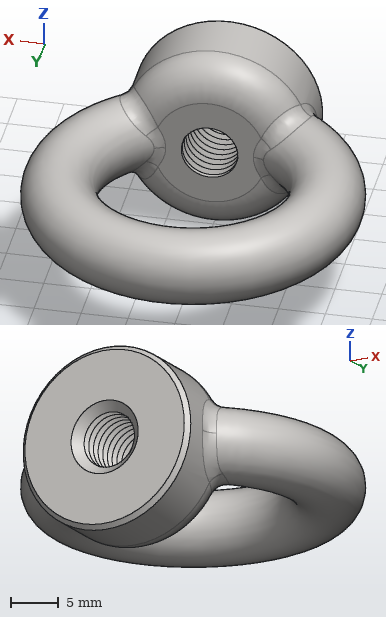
import cadquery as cq
import math

BASE_DIAMETER = 20.0
BASE_HEIGHT = 10.5
BASE_TOP_ROUND = 4.0
BASE_CHAMFER = 0.5

RING_INNER_DIAMETER = 20.0
RING_BAR_DIAMETER = 8.0
OVERALL_LENGTH = 37.0
RING_MEAN_RADIUS = (RING_INNER_DIAMETER + RING_BAR_DIAMETER) / 2
RING_OUTER_RADIUS = RING_MEAN_RADIUS + RING_BAR_DIAMETER / 2
RING_CENTER_Y = OVERALL_LENGTH - RING_OUTER_RADIUS
BLEND_RADIUS = 2.0

HOLE_DIAMETER = 6.0
COUNTERSINK_DIAMETER = 8.0
COUNTERSINK_DEPTH = (COUNTERSINK_DIAMETER - HOLE_DIAMETER) / 2
THREAD_PITCH = 1.0
THREAD_FLANK_ANGLE = 60.0
GROOVE_DEPTH = THREAD_PITCH / 2 / math.tan(math.radians(THREAD_FLANK_ANGLE / 2))
GROOVE_COUNT = math.floor((BASE_HEIGHT - COUNTERSINK_DEPTH) / THREAD_PITCH)


def make_base():
    """Solid boss with a rounded top rim and a chamfered bottom rim."""
    base = cq.Workplane("XZ").circle(BASE_DIAMETER / 2).extrude(-BASE_HEIGHT)
    base = base.faces(">Y").edges().fillet(BASE_TOP_ROUND)
    return base.faces("<Y").edges().chamfer(BASE_CHAMFER)


def make_ring():
    """Closed ring of round bar, lying in the XY plane."""
    bar_section = (
        cq.Workplane("YZ")
        .center(RING_CENTER_Y - RING_MEAN_RADIUS, 0)
        .circle(RING_BAR_DIAMETER / 2)
    )
    return bar_section.revolve(360, (RING_MEAN_RADIUS, 0, 0), (RING_MEAN_RADIUS, 1, 0))


def blend_ring_into_base(body):
    """Fillet the closed seam where the ring leaves the base."""
    seam = body.edges("%BSPLINE")
    return seam.fillet(BLEND_RADIUS)


def make_threaded_hole():
    """Cutter for the countersunk, grooved hole, revolved about the Y axis."""
    crest_radius = HOLE_DIAMETER / 2
    profile = (
        cq.Workplane("XY")
        .lineTo(COUNTERSINK_DIAMETER / 2, 0)
        .lineTo(crest_radius, COUNTERSINK_DEPTH)
    )
    for groove in range(GROOVE_COUNT):
        groove_start = COUNTERSINK_DEPTH + groove * THREAD_PITCH
        profile = profile.lineTo(crest_radius + GROOVE_DEPTH, groove_start + THREAD_PITCH / 2)
        profile = profile.lineTo(crest_radius, groove_start + THREAD_PITCH)
    profile = profile.lineTo(crest_radius, BASE_HEIGHT).lineTo(0, BASE_HEIGHT).close()
    return profile.revolve(360, (0, 0, 0), (0, 1, 0))


body = blend_ring_into_base(make_base().union(make_ring()))
result = body.cut(make_threaded_hole())